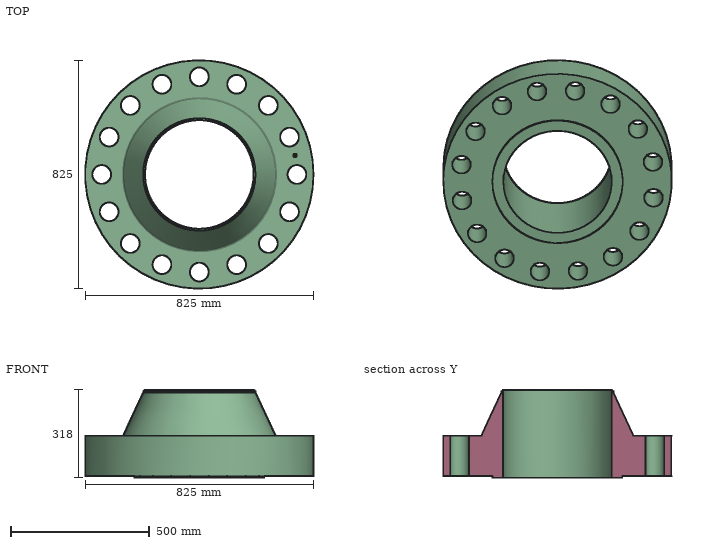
import cadquery as cq
import math

flange_diameter = 825.0
flange_thickness = 146.0
raised_face_diameter = 470.0
raised_face_height = 7.0
hub_height = 165.0
hub_base_diameter = 551.0
hub_base_fillet = 3.0
neck_diameter = 407.0
neck_length = 10.0
bore_diameter = 391.0
weld_bevel_angle = 37.5
weld_land = 2.0

bolt_count = 16
bolt_circle_diameter = 705.0
bolt_hole_diameter = 67.0

small_hole_diameter = 7.0
small_hole_depth = 25.0
small_counterbore_diameter = 13.0
small_counterbore_depth = 2.5

flange_radius = flange_diameter / 2
raised_face_radius = raised_face_diameter / 2
hub_base_radius = hub_base_diameter / 2
neck_radius = neck_diameter / 2
bore_radius = bore_diameter / 2
bolt_circle_radius = bolt_circle_diameter / 2
bolt_pitch_angle = 360 / bolt_count

top_z = flange_thickness + hub_height
weld_land_radius = bore_radius + weld_land
bevel_height = (neck_radius - weld_land_radius) * math.tan(math.radians(weld_bevel_angle))


def revolved_body():
    """Flange disc, raised face and tapered hub around an open bore."""
    profile = [
        (bore_radius, -raised_face_height),
        (raised_face_radius, -raised_face_height),
        (raised_face_radius, 0),
        (flange_radius, 0),
        (flange_radius, flange_thickness),
        (hub_base_radius, flange_thickness),
        (neck_radius, top_z - neck_length),
        (neck_radius, top_z - bevel_height),
        (weld_land_radius, top_z),
        (bore_radius, top_z),
    ]
    body = cq.Workplane("XZ").polyline(profile).close().revolve(360, (0, 0), (0, 1))
    hub_root = cq.selectors.RadiusNthSelector(-2)
    return body.edges(hub_root).fillet(hub_base_fillet)


def bolt_holes():
    """Ring of plain holes through the full flange thickness."""
    return (
        cq.Workplane("XY")
        .polarArray(bolt_circle_radius, 0, 360, bolt_count)
        .circle(bolt_hole_diameter / 2)
        .extrude(flange_thickness)
    )


def small_hole():
    """Small counterbored blind hole in the flange top, midway between two bolt holes."""
    angle = math.radians(bolt_pitch_angle / 2)
    center = (bolt_circle_radius * math.cos(angle), bolt_circle_radius * math.sin(angle), flange_thickness)
    mouth = cq.Workplane("XY", origin=center)
    hole = mouth.circle(small_hole_diameter / 2).extrude(-small_hole_depth)
    counterbore = mouth.circle(small_counterbore_diameter / 2).extrude(-small_counterbore_depth)
    return hole.union(counterbore)


result = revolved_body().cut(bolt_holes()).cut(small_hole())